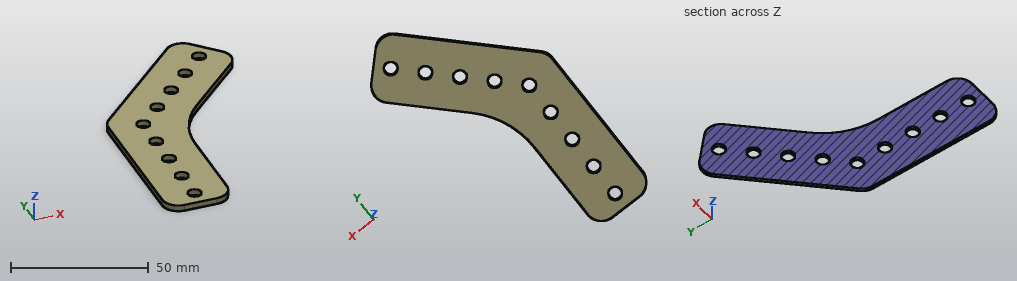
import cadquery as cq
import math

length = 103.7
thickness = 2.5
hole_diameter = 5.0
inner_bend_radius = 33.6
bend_angle = 45.0
pitches_per_arm = 4

bend = math.radians(bend_angle)
direction_x = math.sin(bend)
direction_y = math.cos(bend)
length_in_pitches = 0.5 + pitches_per_arm + pitches_per_arm * direction_y + 0.5 * direction_x + 0.5
pitch = length / length_in_pitches
half_width = pitch
end_margin = pitch / 2
corner_radius = pitch / 2
arm_length = pitches_per_arm * pitch + end_margin

miter_shift = half_width * math.tan(bend / 2)


def on_upper_arm(along, across):
    """Point at a distance along the upper arm and to the right of its centreline."""
    return (
        along * direction_x + across * direction_y,
        along * direction_y - across * direction_x,
    )


inner_corner = (half_width, -miter_shift)
outer_corners = [
    on_upper_arm(arm_length, half_width),
    on_upper_arm(arm_length, -half_width),
    (-half_width, miter_shift),
    (-half_width, -arm_length),
    (half_width, -arm_length),
]
body = cq.Workplane("XY").polyline([inner_corner] + outer_corners).close().extrude(thickness)


def round_corner(plate, corner, radius):
    """Fillet the vertical edge standing at an outline corner."""
    edge = cq.selectors.NearestToPointSelector((*corner, thickness / 2))
    return plate.edges(edge).fillet(radius)


body = round_corner(body, inner_corner, inner_bend_radius)
for outer_corner in outer_corners:
    body = round_corner(body, outer_corner, corner_radius)

lower_holes = [(0, -i * pitch) for i in range(pitches_per_arm + 1)]
upper_holes = [on_upper_arm(i * pitch, 0) for i in range(1, pitches_per_arm + 1)]
holes = cq.Workplane("XY").pushPoints(lower_holes + upper_holes).circle(hole_diameter / 2).extrude(thickness)

result = body.cut(holes)